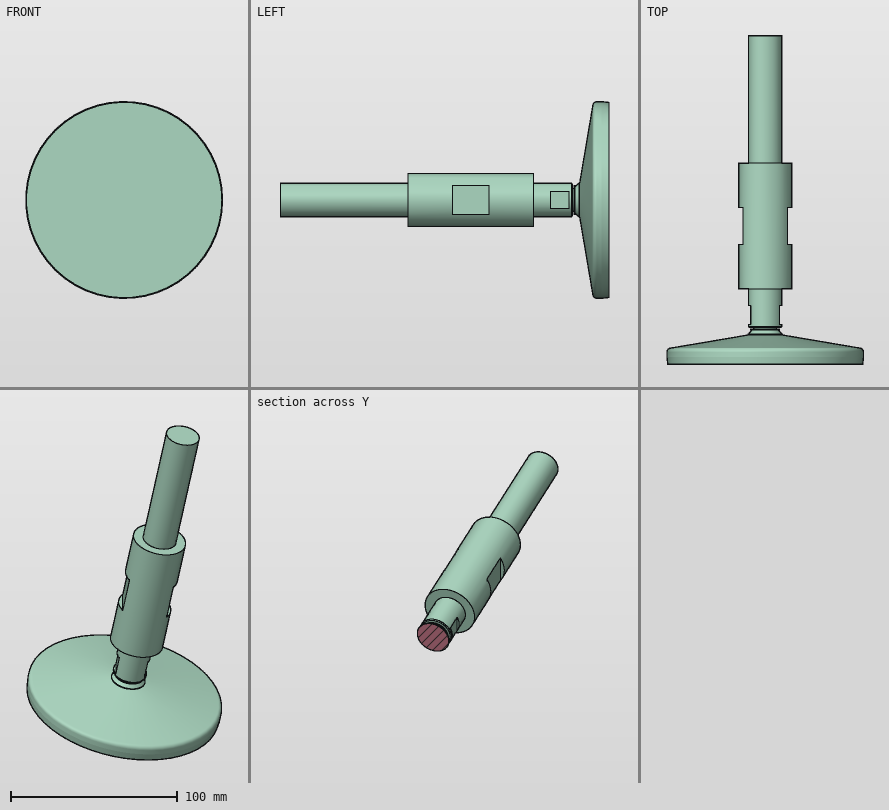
import cadquery as cq
import math

total_length = 197.0

foot_radius = 118.0 / 2
foot_base_radius = 58.5
rim_taper_height = 4.3
rim_height = 7.3
rim_rounding = 2.5
collar_base_radius = 10.2
collar_step_height = 0.4
collar_top_radius = 8.0
collar_top_height = 20.5
cone_slope = math.radians(9.6)

rod_radius = 20.0 / 2
lip_radius = 8.7
lip_thickness = 0.5
neck_radius = 6.9
shoulder_height = 22.0
shoulder_chamfer = 0.5
spindle_flat_start = 24.0
spindle_flat_length = 11.2
spindle_flat_width = 17.3

sleeve_radius = 32.0 / 2
sleeve_start = 45.3
sleeve_length = 75.3
sleeve_flat_length = 22.0
sleeve_flat_width = 26.8


def cut_flats(body, outer_radius, start, length, width):
    """Cut two opposite wrench flats, facing -X and +X, a distance `width` apart."""
    depth = outer_radius - width / 2
    for side in (-1, 1):
        cutter = cq.Workplane("XY").box(2 * depth, length, 2 * outer_radius)
        body = body.cut(cutter.translate((side * (width / 2 + depth), start + length / 2, 0)))
    return body


def make_foot():
    """Conical plate with a rounded rim and a small tapered collar on a shallow step."""
    arc_center_radius = foot_radius - rim_rounding

    def rounding_point(angle):
        return (
            arc_center_radius + rim_rounding * math.sin(angle),
            rim_height + rim_rounding * math.cos(angle),
        )

    cone_start_radius, cone_start_height = rounding_point(cone_slope)
    cone_top_height = cone_start_height + (cone_start_radius - collar_base_radius) * math.tan(cone_slope)
    arc_middle_angle = (cone_slope + math.pi / 2) / 2
    return (
        cq.Workplane("XY")
        .lineTo(foot_base_radius, 0)
        .lineTo(foot_radius, rim_taper_height)
        .lineTo(foot_radius, rim_height)
        .threePointArc(rounding_point(arc_middle_angle), rounding_point(cone_slope))
        .lineTo(collar_base_radius, cone_top_height)
        .lineTo(collar_base_radius, cone_top_height + collar_step_height)
        .lineTo(collar_top_radius, collar_top_height)
        .lineTo(0, collar_top_height)
        .close()
        .revolve(360, (0, 0), (0, 1))
    )


def make_spindle():
    """Long rod with wrench flats, a narrow neck and a thin lip resting on the foot's collar."""
    lip_top = collar_top_height + lip_thickness
    spindle = (
        cq.Workplane("XY")
        .moveTo(0, collar_top_height)
        .lineTo(lip_radius, collar_top_height)
        .lineTo(lip_radius, lip_top)
        .lineTo(neck_radius, lip_top)
        .lineTo(neck_radius, shoulder_height)
        .lineTo(rod_radius - shoulder_chamfer, shoulder_height)
        .lineTo(rod_radius, shoulder_height + shoulder_chamfer)
        .lineTo(rod_radius, total_length)
        .lineTo(0, total_length)
        .close()
        .revolve(360, (0, 0), (0, 1))
    )
    return cut_flats(spindle, rod_radius, spindle_flat_start, spindle_flat_length, spindle_flat_width)


def make_sleeve():
    """Tube around the rod with wrench flats at mid length."""
    sleeve = (
        cq.Workplane("XZ", origin=(0, sleeve_start, 0))
        .circle(sleeve_radius)
        .circle(rod_radius)
        .extrude(-sleeve_length)
    )
    flat_start = sleeve_start + (sleeve_length - sleeve_flat_length) / 2
    return cut_flats(sleeve, sleeve_radius, flat_start, sleeve_flat_length, sleeve_flat_width)


foot = make_foot()
spindle = make_spindle()
sleeve = make_sleeve()

result = cq.Compound.makeCompound([*foot.solids().vals(), *spindle.solids().vals(), *sleeve.solids().vals()])